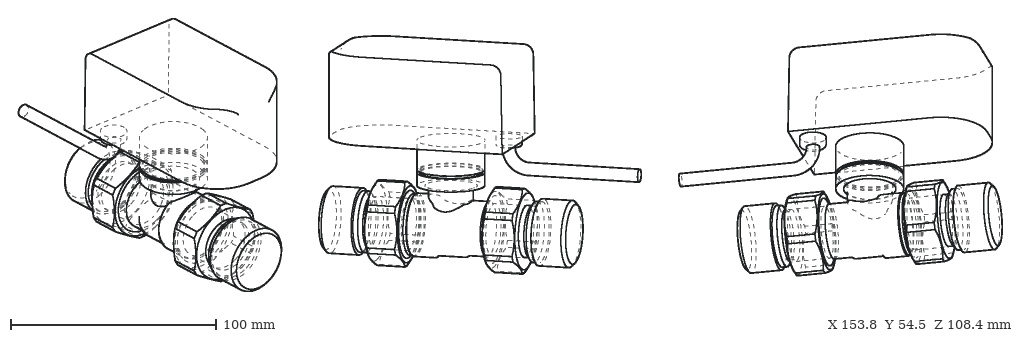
import cadquery as cq
import math


HOUSING_WIDTH = 54.5
HOUSING_BOTTOM = 43.2
HOUSING_TOP = 87.4
HOUSING_LEFT = -34.5
HOUSING_RIGHT = 59.8
HOUSING_DRAFT = 1.0
HOUSING_TOP_RADIUS = 5.0
HOUSING_CORNER_RADIUS = 23.0

NECK_RADIUS = 16.6
NECK_BOTTOM = 20.6
GROOVE_RADIUS = 15.2
GROOVE_BOTTOM = 27.0
GROOVE_TOP = 28.5

GLAND_RADIUS = 6.5
GLAND_X = -24.3
GLAND_Y = -17.4
GLAND_BOTTOM = 38.3
GLAND_EDGE_RADIUS = 1.2
CABLE_RADIUS = 3.2
CABLE_Y = -16.9
CABLE_Z = 27.5
CABLE_END_X = -90.9
CABLE_BEND_RADIUS = 10.2

NUT_INNER_X = 21.5
NUT_OUTER_X = 38.3
NUT_FLAT_DISTANCE = 38.1
NUT_CORNER_RADIUS = 21.0
NUT_FACE_RADIUS = 18.8
NUT_CHAMFER_ANGLE = 30.0

TAIL_NECK_RADIUS = 12.8
TAIL_SHOULDER_RADIUS = 15.0
TAIL_THREAD_RADIUS = 16.5
TAIL_NECK_END = 41.0
TAIL_SHOULDER_START = 42.9
TAIL_SHOULDER_END = 45.4
TAIL_THREAD_START = 45.8
TAIL_END = 62.9
TAIL_END_CHAMFER = 1.8

FLARE_RADIUS = 16.6
LEFT_RADIUS = 13.5
MIDDLE_RADIUS = 14.5
RIGHT_RADIUS = 15.5
RIGHT_RELIEF_RADIUS = 15.0
LEFT_FLARE_END = -19.0
FIRST_STEP_START = -10.5
FIRST_STEP_END = -8.2
SECOND_STEP_START = 5.4
SECOND_STEP_END = 7.2
RIGHT_BARREL_END = 17.8
RIGHT_RELIEF_START = 18.3
RIGHT_FLARE_START = 19.8
STEM_RADIUS = 10.9
STEM_FLARE_RADIUS = 1.8


def turned(profile):
    """Revolve a closed XZ outline about the X axis."""
    return profile.close().revolve(360, (0, 0, 0), (1, 0, 0))


def smooth_step(profile, start, end):
    """Join two (x, radius) points by two equal arcs, level at both ends."""
    length = end[0] - start[0]
    rise = end[1] - start[1]
    middle = (start[0] + length / 2, start[1] + rise / 2)
    return (
        profile.lineTo(*start)
        .tangentArcPoint(middle, relative=False)
        .tangentArcPoint(end, relative=False)
    )


def make_housing():
    draft_shift = (HOUSING_TOP - HOUSING_BOTTOM) * math.tan(math.radians(HOUSING_DRAFT))
    side = (
        cq.Workplane("XZ")
        .moveTo(HOUSING_LEFT, HOUSING_BOTTOM)
        .lineTo(HOUSING_RIGHT, HOUSING_BOTTOM)
        .lineTo(HOUSING_RIGHT - draft_shift, HOUSING_TOP)
        .lineTo(HOUSING_LEFT + draft_shift, HOUSING_TOP)
        .close()
        .extrude(HOUSING_WIDTH / 2, both=True)
        .faces(">Z").edges("|Y").fillet(HOUSING_TOP_RADIUS)
    )
    plan = (
        cq.Workplane("XY", origin=(HOUSING_LEFT, 0, HOUSING_BOTTOM))
        .rect(2 * (HOUSING_RIGHT - HOUSING_LEFT), HOUSING_WIDTH)
        .extrude(HOUSING_TOP - HOUSING_BOTTOM)
        .edges("|Z and >X").fillet(HOUSING_CORNER_RADIUS)
    )
    return side.intersect(plan)


def make_neck():
    return (
        cq.Workplane("XZ")
        .moveTo(0, NECK_BOTTOM)
        .lineTo(-NECK_RADIUS, NECK_BOTTOM)
        .lineTo(-NECK_RADIUS, GROOVE_BOTTOM)
        .lineTo(-GROOVE_RADIUS, GROOVE_BOTTOM)
        .lineTo(-GROOVE_RADIUS, GROOVE_TOP)
        .lineTo(-NECK_RADIUS, GROOVE_TOP)
        .lineTo(-NECK_RADIUS, HOUSING_BOTTOM)
        .lineTo(0, HOUSING_BOTTOM)
        .close()
        .revolve(360, (0, 0, 0), (0, 1, 0))
    )


def make_gland():
    return (
        cq.Workplane("XY", origin=(GLAND_X, GLAND_Y, GLAND_BOTTOM))
        .circle(GLAND_RADIUS)
        .extrude(HOUSING_BOTTOM - GLAND_BOTTOM)
        .faces("<Z").edges().fillet(GLAND_EDGE_RADIUS)
    )


def make_cable():
    bend_start_x = GLAND_X - CABLE_BEND_RADIUS
    bend_end_z = CABLE_Z + CABLE_BEND_RADIUS
    path = (
        cq.Workplane("XZ", origin=(0, CABLE_Y, 0))
        .moveTo(CABLE_END_X, CABLE_Z)
        .lineTo(bend_start_x, CABLE_Z)
        .tangentArcPoint((GLAND_X, bend_end_z), relative=False)
        .lineTo(GLAND_X, HOUSING_BOTTOM)
    )
    return (
        cq.Workplane("YZ", origin=(CABLE_END_X, CABLE_Y, CABLE_Z))
        .circle(CABLE_RADIUS)
        .sweep(path)
    )


def make_actuator():
    return make_housing().union(make_neck()).union(make_gland()).union(make_cable())


def make_valve_body():
    profile = (
        cq.Workplane("XZ")
        .moveTo(-NUT_INNER_X, 0)
        .lineTo(-NUT_INNER_X, FLARE_RADIUS)
        .lineTo(LEFT_FLARE_END, LEFT_RADIUS)
    )
    profile = smooth_step(profile, (FIRST_STEP_START, LEFT_RADIUS), (FIRST_STEP_END, MIDDLE_RADIUS))
    profile = smooth_step(profile, (SECOND_STEP_START, MIDDLE_RADIUS), (SECOND_STEP_END, RIGHT_RADIUS))
    barrel = turned(
        profile.lineTo(RIGHT_BARREL_END, RIGHT_RADIUS)
        .lineTo(RIGHT_RELIEF_START, RIGHT_RELIEF_RADIUS)
        .lineTo(RIGHT_FLARE_START, RIGHT_RELIEF_RADIUS)
        .lineTo(NUT_INNER_X, FLARE_RADIUS)
        .lineTo(NUT_INNER_X, 0)
    )
    stem = (
        cq.Workplane("XZ")
        .lineTo(-STEM_RADIUS, 0)
        .lineTo(-STEM_RADIUS, NECK_BOTTOM - STEM_FLARE_RADIUS)
        .tangentArcPoint((-STEM_RADIUS - STEM_FLARE_RADIUS, NECK_BOTTOM), relative=False)
        .lineTo(0, NECK_BOTTOM)
        .close()
        .revolve(360, (0, 0, 0), (0, 1, 0))
    )
    return barrel.union(stem)


def make_nut():
    """Nut on the +X side: a hexagon with turned corners, bored for the tailpiece neck."""
    chamfer_length = (NUT_CORNER_RADIUS - NUT_FACE_RADIUS) * math.tan(math.radians(NUT_CHAMFER_ANGLE))
    hexagon = (
        cq.Workplane("YZ", origin=(NUT_INNER_X, 0, 0))
        .polygon(6, NUT_FLAT_DISTANCE, circumscribed=True)
        .extrude(NUT_OUTER_X - NUT_INNER_X)
    )
    envelope = turned(
        cq.Workplane("XZ")
        .moveTo(NUT_INNER_X, TAIL_NECK_RADIUS)
        .lineTo(NUT_INNER_X, NUT_FACE_RADIUS)
        .lineTo(NUT_INNER_X + chamfer_length, NUT_CORNER_RADIUS)
        .lineTo(NUT_OUTER_X - chamfer_length, NUT_CORNER_RADIUS)
        .lineTo(NUT_OUTER_X, NUT_FACE_RADIUS)
        .lineTo(NUT_OUTER_X, TAIL_NECK_RADIUS)
    )
    return hexagon.intersect(envelope)


def make_tailpiece():
    """Tailpiece on the +X side: its neck runs through the nut to the end of the valve body."""
    return turned(
        cq.Workplane("XZ")
        .moveTo(NUT_INNER_X, 0)
        .lineTo(NUT_INNER_X, TAIL_NECK_RADIUS)
        .lineTo(TAIL_NECK_END, TAIL_NECK_RADIUS)
        .lineTo(TAIL_SHOULDER_START, TAIL_SHOULDER_RADIUS)
        .lineTo(TAIL_SHOULDER_END, TAIL_SHOULDER_RADIUS)
        .lineTo(TAIL_THREAD_START, TAIL_THREAD_RADIUS)
        .lineTo(TAIL_END - TAIL_END_CHAMFER, TAIL_THREAD_RADIUS)
        .lineTo(TAIL_END, TAIL_THREAD_RADIUS - TAIL_END_CHAMFER)
        .lineTo(TAIL_END, 0)
    )


actuator = make_actuator()
valve_body = make_valve_body()

nuts = []
tailpieces = []
for turn in (0, 180):
    nuts.append(make_nut().rotate((0, 0, 0), (0, 0, 1), turn).val())
    tailpieces.append(make_tailpiece().rotate((0, 0, 0), (0, 0, 1), turn).val())

result = cq.Compound.makeCompound([actuator.val(), valve_body.val(), *nuts, *tailpieces])